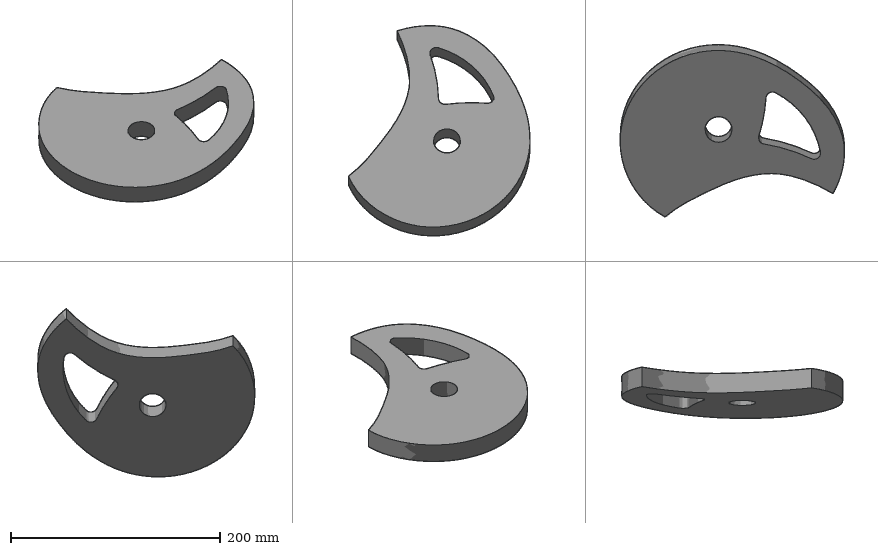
import cadquery as cq

thickness = 19.0
bore_diameter = 25.5
window_fillet = 6.0

heel = (-101.3, 0)
tip = (-0.5, 126.7)

cam_edge = [
    heel,
    (-92.3, -38.0),
    (-61.8, -72.7),
    (-12.6, -87.0),
    (36.5, -72.9),
    (69.5, -38.0),
    (81.6, 0.5),
    (81.0, 43.0),
    (70.3, 81.6),
    (45.0, 112.6),
    (22.0, 123.3),
    tip,
]

hollow_edge = [
    tip,
    (-1.7, 100.9),
    (-10.5, 70.0),
    (-31.5, 43.0),
    (-62.6, 19.9),
    (-81.9, 8.3),
    heel,
]

window_top = (19.9, 102.4)
window_inner = (6.8, 38.3)
window_outer = (58.3, 19.0)
top_side_middle = (16.2, 68.4)
bore_side_middle = (30.8, 31.6)
cam_side_middle = (49.5, 70.0)


def cam_plate():
    profile = (
        cq.Workplane("XY")
        .spline(cam_edge)
        .spline(hollow_edge)
        .close()
    )
    return profile.extrude(thickness)


def bore():
    return cq.Workplane("XY").circle(bore_diameter / 2).extrude(thickness)


def window():
    profile = (
        cq.Workplane("XY")
        .moveTo(*window_top)
        .threePointArc(top_side_middle, window_inner)
        .threePointArc(bore_side_middle, window_outer)
        .threePointArc(cam_side_middle, window_top)
        .close()
    )
    return profile.extrude(thickness).edges("|Z").fillet(window_fillet)


result = cam_plate().cut(bore()).cut(window())